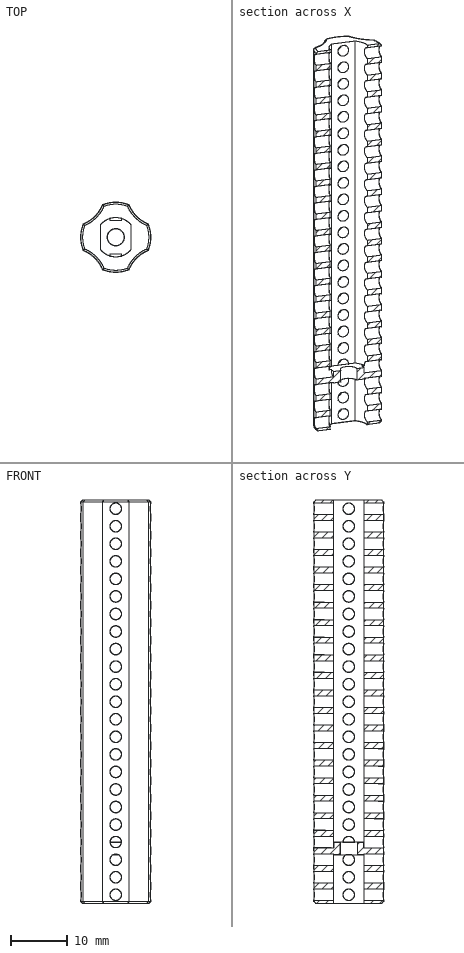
import cadquery as cq
import math

hole_pitch = 3.125
hole_count = 23
hole_diameter = 2.0
outer_diameter = 12.5
lobe_width = 4.7
lobe_count = 4
flute_radius = 6.25
end_chamfer = 0.35
bore_diameter = 7.0
bore_flat_width = 5.4
web_top_pitches = 3.5
web_thickness = 2.25
web_hole_diameter = 3.0
side_hole_stop_y = 2.95

length = hole_count * hole_pitch
outer_radius = outer_diameter / 2
lobe_step = 360 / lobe_count
half_lobe_step = lobe_step / 2
corner_angle = math.degrees(math.asin(lobe_width / 2 / outer_radius))
flute_half_chord = outer_radius * math.sin(math.radians(half_lobe_step - corner_angle))
flute_chord_distance = outer_radius * math.cos(math.radians(half_lobe_step - corner_angle))
flute_center_distance = flute_chord_distance + math.sqrt(flute_radius**2 - flute_half_chord**2)
flute_bottom_distance = flute_center_distance - flute_radius
web_top = web_top_pitches * hole_pitch
web_bottom = web_top - web_thickness
side_hole_stop_x = bore_flat_width / 2


def polar(radius, degrees):
    """X and Y of a point at a radius and an angle from +X."""
    angle = math.radians(degrees)
    return (radius * math.cos(angle), radius * math.sin(angle))


def fluted_body():
    """Four-lobed bar with chamfered ends, standing on Z = 0."""
    outline = cq.Workplane("XY").moveTo(*polar(outer_radius, -corner_angle))
    for lobe in range(lobe_count):
        lobe_angle = lobe * lobe_step
        lobe_crest = polar(outer_radius, lobe_angle)
        lobe_end = polar(outer_radius, lobe_angle + corner_angle)
        flute_bottom = polar(flute_bottom_distance, lobe_angle + half_lobe_step)
        next_lobe = polar(outer_radius, lobe_angle + lobe_step - corner_angle)
        outline = outline.threePointArc(lobe_crest, lobe_end)
        outline = outline.threePointArc(flute_bottom, next_lobe)
    return outline.close().extrude(length).faces("<Z or >Z").chamfer(end_chamfer)


def flatted_bore(bottom, top):
    """Round bore with two flats facing along X, between two heights."""
    height = top - bottom
    cylinder = cq.Workplane("XY").workplane(offset=bottom).circle(bore_diameter / 2).extrude(height)
    flats = cq.Workplane("XY").workplane(offset=bottom).rect(bore_flat_width, bore_diameter).extrude(height)
    return cylinder.intersect(flats)


def web_hole():
    """Round hole through the web that separates the two bores."""
    return cq.Workplane("XY").workplane(offset=web_bottom).circle(web_hole_diameter / 2).extrude(web_thickness)


def side_holes(plane, stop_distance):
    """Rows of radial holes through both walls; they leave the middle of the web whole."""
    centers = [(0, (index + 0.5) * hole_pitch) for index in range(hole_count)]
    depth = outer_radius - stop_distance
    rows = cq.Workplane(plane)
    near = rows.workplane(offset=stop_distance).pushPoints(centers).circle(hole_diameter / 2).extrude(depth)
    far = rows.workplane(offset=-stop_distance).pushPoints(centers).circle(hole_diameter / 2).extrude(-depth)
    return near.add(far).combine()


result = fluted_body()
result = result.cut(flatted_bore(web_top, length))
result = result.cut(flatted_bore(0, web_bottom))
result = result.cut(web_hole())
result = result.cut(side_holes("XZ", side_hole_stop_y))
result = result.cut(side_holes("YZ", side_hole_stop_x))